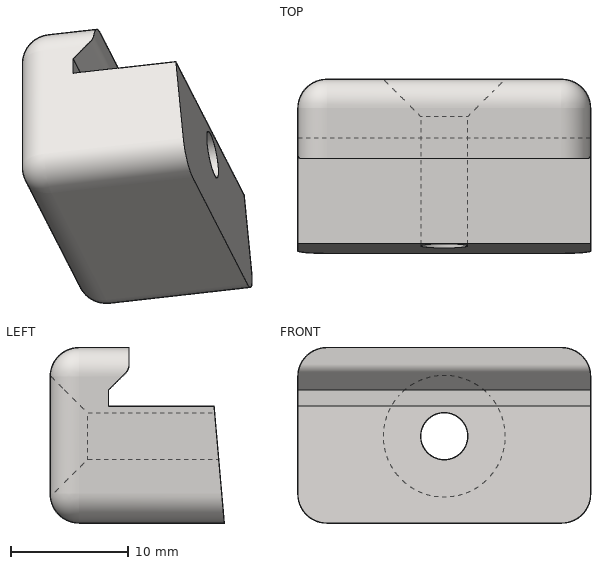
import cadquery as cq
import math

length = 25.0
height = 15.0
depth = 14.88
corner_radius = 2.5

ledge_height = 10.0
front_slope = 5.0
ledge_depth = depth - ledge_height * math.tan(math.radians(front_slope))

groove_depth = 5.0
lip_depth = 6.75
lip_overhang = lip_depth - groove_depth
underside_start = 11.38
underside_end = underside_start + lip_overhang
lip_edge_radius = 1.0

hole_diameter = 4.0
hole_height = 7.42
countersink_diameter = 10.4
countersink_angle = 90.0


def rounded_block():
    """Block with rounded long corners and a rounded back, its back face at Y = 0."""
    block = cq.Workplane("XY").box(length, depth, height, centered=(True, False, False))
    block = block.translate((0, -depth, 0))
    return block.edges("|Y").fillet(corner_radius).faces(">Y").edges().fillet(corner_radius)


def side_profile():
    """Hook-shaped side outline, extruded over the full length."""
    profile = (
        cq.Workplane("YZ")
        .moveTo(0, 0)
        .lineTo(-depth, 0)
        .lineTo(-ledge_depth, ledge_height)
        .lineTo(-groove_depth, ledge_height)
        .lineTo(-groove_depth, underside_start)
        .lineTo(-lip_depth, underside_end)
        .lineTo(-lip_depth, height)
        .lineTo(0, height)
        .close()
        .extrude(length / 2, both=True)
    )
    lip_edge = cq.NearestToPointSelector((0, -lip_depth, underside_end))
    return profile.edges("|X").edges(lip_edge).fillet(lip_edge_radius)


def screw_hole():
    """Through hole along Y, countersunk into the back face."""
    hole_radius = hole_diameter / 2
    sink_radius = countersink_diameter / 2
    sink_depth = (sink_radius - hole_radius) / math.tan(math.radians(countersink_angle / 2))
    return (
        cq.Workplane("XY")
        .moveTo(0, 0)
        .lineTo(sink_radius, 0)
        .lineTo(hole_radius, -sink_depth)
        .lineTo(hole_radius, -depth)
        .lineTo(0, -depth)
        .close()
        .revolve(360, (0, 0), (0, 1))
        .translate((0, 0, hole_height))
    )


result = rounded_block().intersect(side_profile()).cut(screw_hole())